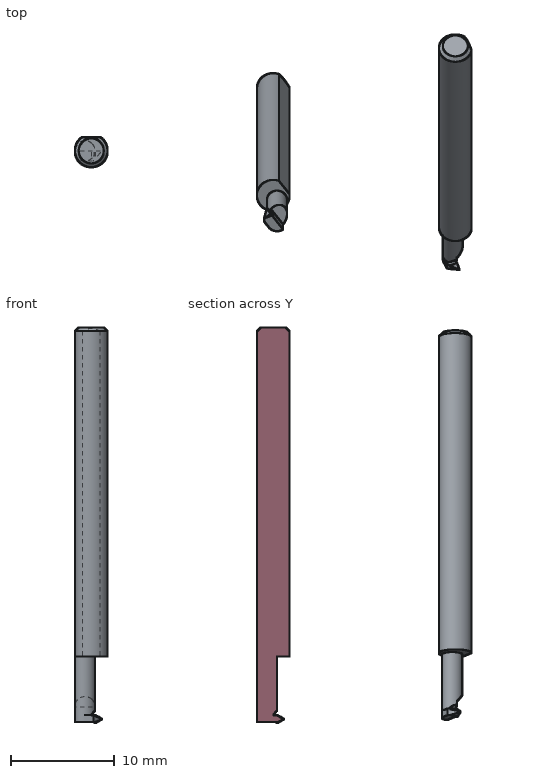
import math

import cadquery as cq

total_length = 38.1
shank_diameter = 3.175
shank_flat_offset = 1.3325
chamfer_length = 0.38
neck_diameter = 1.96
shank_bottom = 6.4
tip_drop = 0.1

rake_bottom = 1.57

nose_reach = 1.03
nose_root_x = 0.4
crest_width = 0.04
flank_angle = 30.0
side_clearance = 7.0

heel_x = 0.2

clearance_depth = 0.35
clearance_height = 0.45

shank_radius = shank_diameter / 2
neck_radius = neck_diameter / 2
neck_center_x = neck_radius - shank_radius
neck_side_x = neck_center_x + neck_radius
crest_half = crest_width / 2
root_half = crest_half + (nose_reach - nose_root_x) * math.tan(math.radians(flank_angle))
block_top = 2 * root_half


def make_shank():
    """Chamfered round bar with one flat along its full length."""
    length = total_length - shank_bottom
    base = cq.Workplane("XY", origin=(0, 0, shank_bottom))
    bar = base.circle(shank_radius).extrude(length).faces(">Z").chamfer(chamfer_length)
    flat_limit = (
        base.center(0, shank_flat_offset - shank_radius)
        .rect(shank_diameter, shank_diameter)
        .extrude(length)
    )
    return bar.intersect(flat_limit)


def make_neck():
    """Offset round neck, cut down to its -Y half at the tip."""
    neck = (
        cq.Workplane("XY", origin=(neck_center_x, 0, tip_drop))
        .circle(neck_radius)
        .extrude(shank_bottom - tip_drop)
    )
    rake_cut = (
        cq.Workplane("YZ", origin=(-shank_radius, 0, 0))
        .moveTo(0, 0)
        .lineTo(0, rake_bottom)
        .lineTo(neck_radius, rake_bottom + neck_radius)
        .lineTo(neck_radius, 0)
        .close()
        .extrude(neck_diameter)
    )
    clearance_cut = (
        cq.Workplane("XZ")
        .moveTo(neck_side_x, block_top + clearance_height)
        .lineTo(neck_side_x - clearance_depth, block_top)
        .lineTo(neck_side_x, block_top)
        .close()
        .extrude(neck_radius)
    )
    return neck.cut(rake_cut).cut(clearance_cut)


def make_nose():
    """Pointed nose and its carrying block, relieved behind the rake face at Y = 0."""
    block = (
        cq.Workplane("XZ")
        .moveTo(neck_center_x, tip_drop)
        .lineTo(nose_root_x, tip_drop)
        .lineTo(nose_root_x, block_top)
        .lineTo(neck_center_x, block_top)
        .close()
        .extrude(neck_radius)
    )
    point = (
        cq.Workplane("XZ", origin=(0, 0, root_half))
        .moveTo(neck_center_x, tip_drop - root_half)
        .lineTo(heel_x, tip_drop - root_half)
        .lineTo(nose_root_x, -root_half)
        .lineTo(nose_reach, -crest_half)
        .lineTo(nose_reach, crest_half)
        .lineTo(nose_root_x, root_half)
        .lineTo(neck_center_x, root_half)
        .close()
        .extrude(neck_radius, taper=side_clearance)
    )
    relief_limit = (
        cq.Workplane("XY")
        .moveTo(neck_center_x, 0)
        .lineTo(nose_reach, 0)
        .lineTo(heel_x, -neck_radius)
        .lineTo(neck_center_x, -neck_radius)
        .close()
        .extrude(block_top)
    )
    return block.union(point).intersect(relief_limit)


result = make_shank().union(make_neck()).union(make_nose())